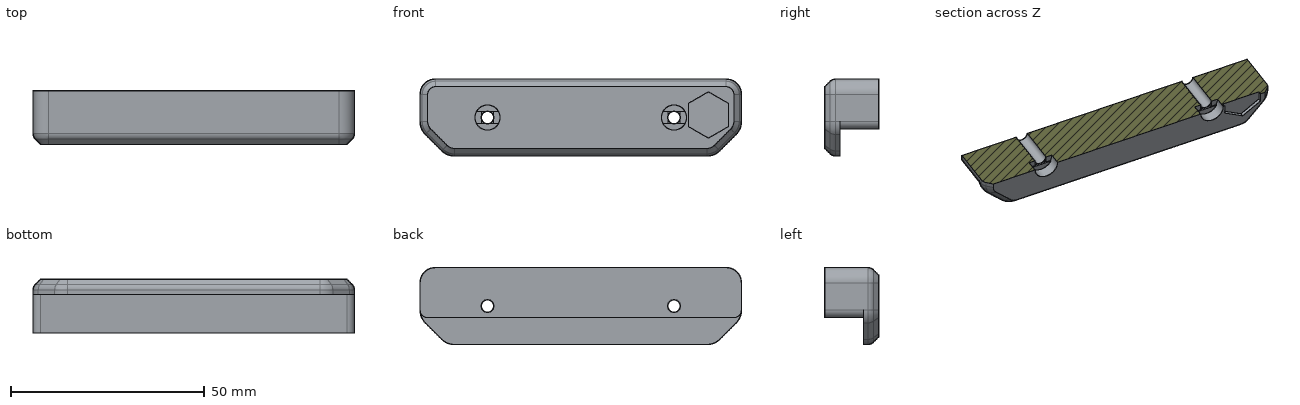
import cadquery as cq

length = 83.2
depth = 14.0
height = 20.0

plate_thickness = 4.0
lower_bevel = 7.0
upper_corner_radius = 4.0
lower_corner_radius = 4.7
front_chamfer = 2.0
front_rounding = 2.0

bar_height = height - lower_bevel
bar_lower_radius = 2.0

hole_spacing = 48.3
screw_diameter = 3.2
counterbore_diameter = 6.5
counterbore_depth = 3.0
step_depth = 0.25
slot_depth = counterbore_depth + step_depth
square_depth = slot_depth + step_depth

hexagon_across_corners = 12.0
hexagon_x = 33.05
hexagon_z = 0.7
hexagon_depth = 0.9

half_length = length / 2
half_height = height / 2
selection_margin = 0.1


def sketch_at(x, z, y=0.0):
    """Sketch plane parallel to the front face; a negative extrusion runs into the part (+Y)."""
    return cq.Workplane("XZ", origin=(x, y, z))


def make_plate():
    bevel_top = lower_bevel - half_height
    bevel_end = half_length - lower_bevel
    outline = [
        (-half_length, half_height),
        (half_length, half_height),
        (half_length, bevel_top),
        (bevel_end, -half_height),
        (-bevel_end, -half_height),
        (-half_length, bevel_top),
    ]
    plate = sketch_at(0, 0).polyline(outline).close().extrude(-plate_thickness)

    lower_half = cq.selectors.BoxSelector((-length, 0, -height), (length, depth, 0))
    plate = plate.edges("|Y").edges(lower_half).fillet(lower_corner_radius)
    plate = plate.edges("|Y and >Z").fillet(upper_corner_radius)

    plate = plate.faces("<Y").chamfer(front_chamfer)
    ridge = cq.selectors.BoxSelector(
        (-length, front_chamfer - selection_margin, -height),
        (length, front_chamfer + selection_margin, height),
        boundingbox=True,
    )
    return plate.edges(ridge).fillet(front_rounding)


def make_bar():
    bar_center_z = half_height - bar_height / 2
    bar = sketch_at(0, bar_center_z, plate_thickness).rect(length, bar_height).extrude(plate_thickness - depth)
    bar = bar.edges("|Y and >Z").fillet(upper_corner_radius)
    return bar.edges("|Y and <Z").fillet(bar_lower_radius)


def make_hole(x):
    """Cutting tool for one stepped screw hole; the slot and square are as wide as the screw hole."""
    sketch = sketch_at(x, 0)
    counterbore = sketch.circle(counterbore_diameter / 2).extrude(-counterbore_depth)
    slot_ends = sketch.circle(counterbore_diameter / 2).extrude(-slot_depth)
    slot = sketch.rect(counterbore_diameter, screw_diameter).extrude(-slot_depth).intersect(slot_ends)
    square = sketch.rect(screw_diameter, screw_diameter).extrude(-square_depth)
    screw = sketch.circle(screw_diameter / 2).extrude(-depth)
    return counterbore.union(slot).union(square).union(screw)


def make_hexagon():
    """Cutting tool for the hexagonal recess."""
    sketch = sketch_at(hexagon_x, hexagon_z).transformed(rotate=(0, 0, 90))
    return sketch.polygon(6, hexagon_across_corners).extrude(-hexagon_depth)


result = make_plate().union(make_bar())
for hole_x in (-hole_spacing / 2, hole_spacing / 2):
    result = result.cut(make_hole(hole_x))
result = result.cut(make_hexagon())